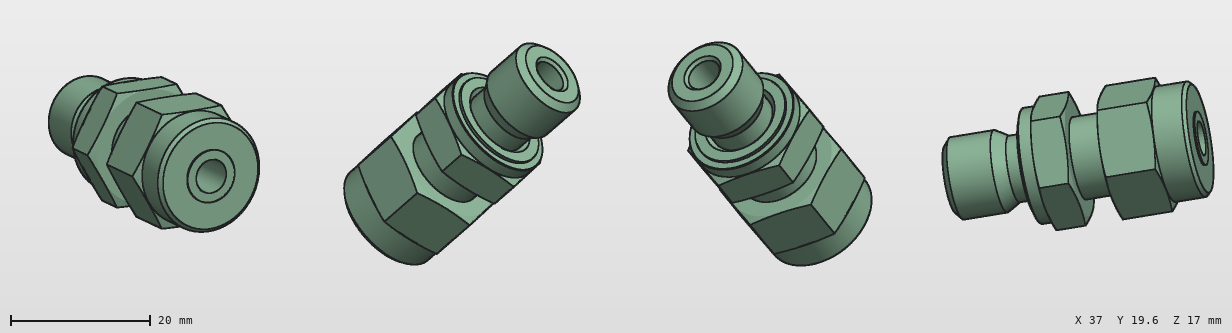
import cadquery as cq
import math


stud_end = 7.35
seal_face = 11.6
collar_face = 12.02
body_hex_start = 13.95
body_hex_end = 18.98
nut_start = 23.75
nut_hex_end = 31.8
nut_end = 36.78
overall_length = 37.0

bore_radius = 2.48
stud_radius = 6.0
undercut_radius = 4.85
recess_radius = 5.6
seal_radius = 7.25
collar_radius = 8.45
nut_collar_radius = 8.4
neck_radius = 6.0
tail_radius = 3.9

across_flats = 17.0
across_corners = across_flats / math.cos(math.radians(30))
hex_chamfer_angle = 15.0

stud_chamfer_length = 0.92
stud_chamfer_depth = 1.07
undercut_angle = 30.0
bore_chamfer = 0.48
collar_chamfer = 0.1
nut_chamfer = 0.55


def turned(profile):
    """Revolve a closed (x, radius) outline around the X axis."""
    return cq.Workplane("XY").polyline(profile).close().revolve(360, (0, 0, 0), (1, 0, 0))


def chamfered_hexagon(start, end):
    """Hexagonal prism with flats up and down, its corners turned to a cone at both ends."""
    prism = cq.Workplane("YZ", origin=(start, 0, 0)).polygon(6, across_corners).extrude(end - start)
    corner_radius = across_corners / 2
    setback = (corner_radius - collar_radius) * math.tan(math.radians(hex_chamfer_angle))
    envelope = turned([
        (start, 0),
        (start, collar_radius),
        (start + setback, corner_radius),
        (end - setback, corner_radius),
        (end, collar_radius),
        (end, 0),
    ])
    return prism.intersect(envelope)


def make_body():
    """Bored stud, collar with a sealing edge, hexagon and a stepped neck running through the nut."""
    undercut_start = stud_end + (stud_radius - undercut_radius) / math.tan(math.radians(undercut_angle))
    recess_bottom = seal_face + recess_radius - undercut_radius
    front = turned([
        (0, 0),
        (0, stud_radius - stud_chamfer_depth),
        (stud_chamfer_length, stud_radius),
        (stud_end, stud_radius),
        (undercut_start, undercut_radius),
        (recess_bottom, undercut_radius),
        (seal_face, recess_radius),
        (seal_face, seal_radius),
        (collar_face, seal_radius),
        (collar_face, collar_radius - collar_chamfer),
        (collar_face + collar_chamfer, collar_radius),
        (body_hex_start, collar_radius),
        (body_hex_start, 0),
    ])
    neck = turned([
        (body_hex_end, 0),
        (body_hex_end, neck_radius),
        (nut_hex_end, neck_radius),
        (nut_hex_end, tail_radius),
        (overall_length, tail_radius),
        (overall_length, 0),
    ])
    bore = turned([
        (0, 0),
        (0, bore_radius + bore_chamfer),
        (bore_chamfer, bore_radius),
        (overall_length, bore_radius),
        (overall_length, 0),
    ])
    hexagon = chamfered_hexagon(body_hex_start, body_hex_end)
    return front.union(hexagon).union(neck).cut(bore)


def make_nut():
    """Hexagon and round rear collar, with a stepped hole that fits the neck and tail of the body."""
    rear_collar = turned([
        (nut_hex_end, 0),
        (nut_hex_end, nut_collar_radius),
        (nut_end - nut_chamfer, nut_collar_radius),
        (nut_end, nut_collar_radius - nut_chamfer),
        (nut_end, 0),
    ])
    stepped_hole = turned([
        (nut_start, 0),
        (nut_start, neck_radius),
        (nut_hex_end, neck_radius),
        (nut_hex_end, tail_radius),
        (nut_end, tail_radius),
        (nut_end, 0),
    ])
    return chamfered_hexagon(nut_start, nut_hex_end).union(rear_collar).cut(stepped_hole)


body = make_body()
nut = make_nut()
result = cq.Compound.makeCompound([body.solids().val(), nut.solids().val()])